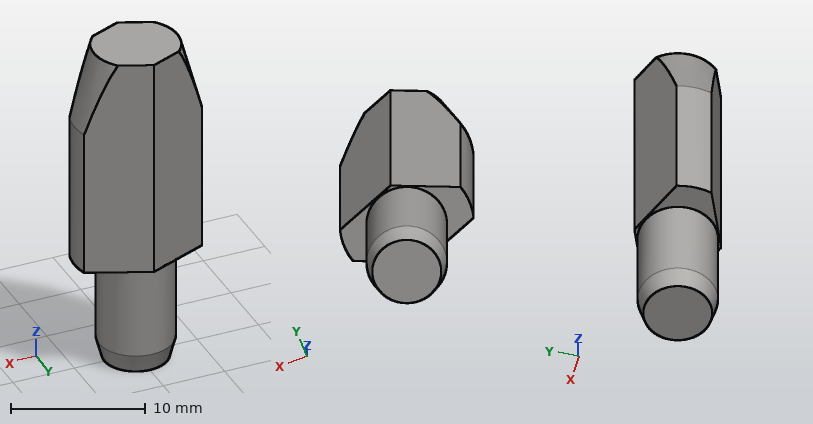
import cadquery as cq
import math

total_length = 27.0
head_diameter = 10.0
head_thickness = 6.67

head_length = 18.0
head_taper_length = 6.0
flat_angle = 22.5

pin_diameter = 6.0
pin_length = total_length - head_length
pin_tip_length = 1.62

taper_angle = 15.0
taper_slope = math.tan(math.radians(taper_angle))


def make_head():
    """Tapered round bar, cut to a diamond section by four flats."""
    radius = head_diameter / 2
    top_radius = radius - head_taper_length * taper_slope
    round_bar = (
        cq.Workplane("XZ")
        .moveTo(0, 0)
        .lineTo(radius, 0)
        .lineTo(radius, head_length - head_taper_length)
        .lineTo(top_radius, head_length)
        .lineTo(0, head_length)
        .close()
        .revolve(360, (0, 0, 0), (0, 1, 0))
    )
    half_thickness = head_thickness / 2
    half_diagonal = half_thickness / math.tan(math.radians(flat_angle))
    diamond = (
        cq.Workplane("XY")
        .polyline([
            (half_diagonal, 0),
            (0, half_thickness),
            (-half_diagonal, 0),
            (0, -half_thickness),
        ])
        .close()
        .extrude(head_length)
    )
    return round_bar.intersect(diamond)


def make_pin():
    """Round pin below the head with a conical lead-in tip."""
    tip_inset = pin_tip_length * taper_slope
    return (
        cq.Workplane("XY")
        .circle(pin_diameter / 2)
        .extrude(-pin_length)
        .faces("<Z")
        .chamfer(pin_tip_length, tip_inset)
    )


result = make_head().union(make_pin())